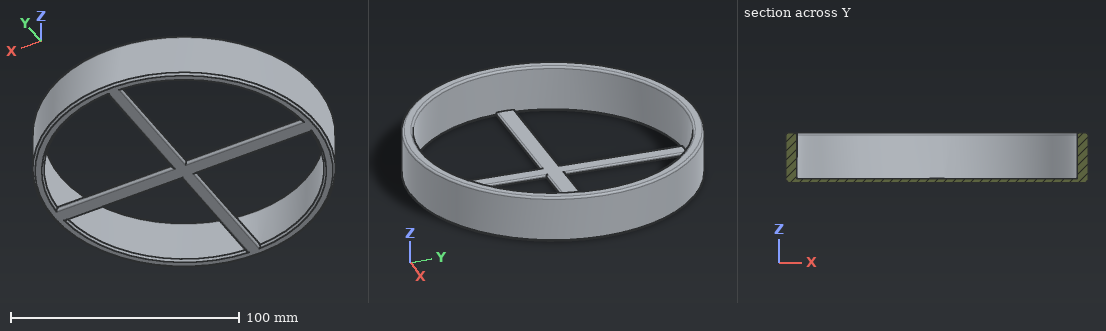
import cadquery as cq
outer_diameter = 132.5
inner_diameter = 122.5
ring_height = 22.0
top_rim_radius = 1.0
bottom_rim_chamfer = 1.05

bar_thickness = 2.0
x_bar_width = 8.5
y_bar_width = 7.0
bar_top_radius = 0.7
bar_bottom_radius = 1.0

bar_length = (outer_diameter + inner_diameter) / 2


def make_ring():
    """Tube standing on Z = 0, rounded at the top rim and chamfered at the bottom rim."""
    tube = (
        cq.Workplane("XY")
        .circle(outer_diameter / 2)
        .circle(inner_diameter / 2)
        .extrude(ring_height)
    )
    rounded = tube.faces(">Z").edges().fillet(top_rim_radius)
    return rounded.faces("<Z").edges().chamfer(bottom_rim_chamfer)


def make_bar(width):
    """Bar along X, resting on Z = 0, with its long edges rounded."""
    bar = cq.Workplane("XY").box(bar_length, width, bar_thickness, centered=(True, True, False))
    rounded = bar.faces(">Z").edges("|X").fillet(bar_top_radius)
    return rounded.faces("<Z").edges("|X").fillet(bar_bottom_radius)


x_bar = make_bar(x_bar_width)
y_bar = make_bar(y_bar_width).rotate((0, 0, 0), (0, 0, 1), 90)

result = make_ring().union(x_bar).union(y_bar)